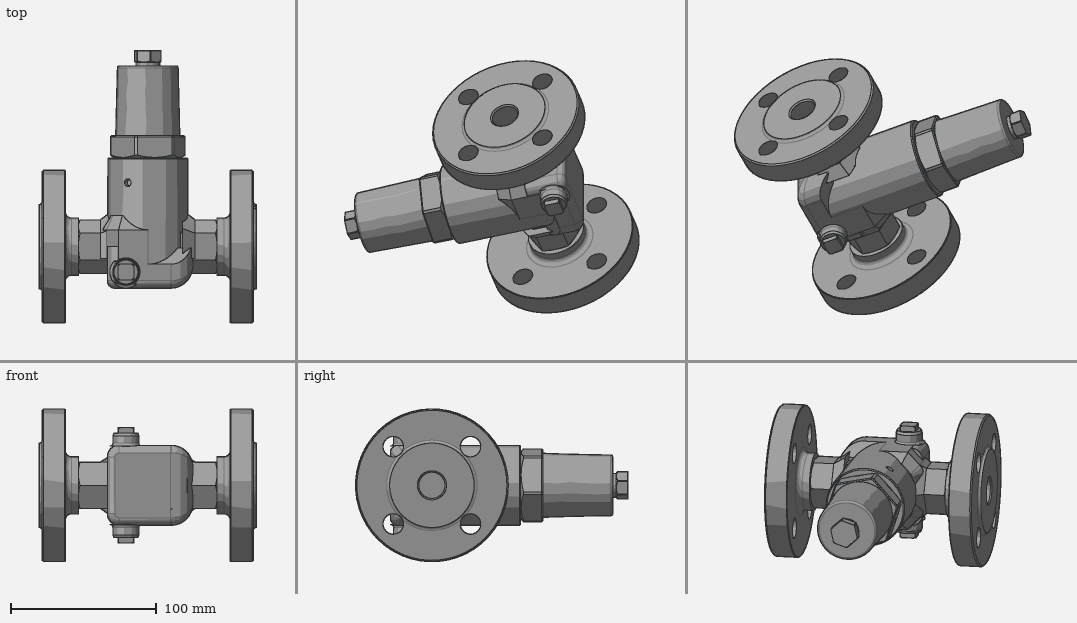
import cadquery as cq
import math


face_to_face = 149.0
flange_diameter = 105.0
flange_total_thickness = 18.0
front_chamfer = 1.0
back_chamfer = 0.5
raised_face_diameter = 58.0
raised_face_height = 2.0
raised_face_fillet = 2.0
hub_diameter = 39.5
hub_inner_end = 47.5
hub_fillet = 4.0
bolt_hole_diameter = 14.0
bolt_circle_diameter = 75.0
bolt_hole_count = 4
first_bolt_angle = 45.0
bore_diameter = 18.0
bore_depth = 30.0
bore_chamfer = 1.0
neck_across_flats = 32.0
neck_end_diameter = 32.5
neck_end_taper_length = 1.0
flare_root = 24.0
flare_end = 32.5
flare_rise = 6.5
flare_low = -8.0

body_diameter = 55.0
body_radius = body_diameter / 2
body_bottom = -28.6
body_top = 61.0
body_top_chamfer = 0.8
bottom_fillet = 5.2

inlet_end = -31.0
inlet_low = -8.0
inlet_shoulder = 11.6
inlet_top = 21.5
inlet_top_inset = 6.0
inlet_corner_width = 11.0
inlet_corner_depth = 11.5
inlet_corner_radius = 10.0

chamber_side = -27.8
chamber_top = 0.0
chamber_corner_radius = 8.0

outlet_end = 31.0
outlet_shoulder = -12.0
outlet_top = -1.0
outlet_top_drop = 9.0
outlet_plan_radius = 15.5
outlet_side_radius = 15.0

vent_hole_diameter = 5.1
vent_hole_y = 43.9
vent_hole_depth = 4.0
vent_hole_angle = 30.0

bonnet_top = 76.2
bonnet_across_flats = 46.0
bonnet_turned_diameter = 52.0
bonnet_top_chamfer = 0.8
bonnet_base_diameter = 45.0
bonnet_base_taper_length = 1.9
bonnet_corner_angle = 48.0
cap_top = 124.2
cap_base_diameter = 44.2
cap_top_diameter = 41.8
cap_fillet = 1.5
washer_diameter = 16.5
screw_head_base = 126.5
overall_length = 187.08
screw_head_top = overall_length - flange_diameter / 2
screw_across_flats = 17.0
screw_turned_diameter = 19.2
screw_base_diameter = 16.5
screw_base_taper_length = 1.0
screw_corner_angle = 18.0

plug_x = -15.0
plug_y = -17.4
plug_boss_diameter = 18.0
plug_boss_top = 35.9
plug_boss_chamfer_width = 0.75
plug_boss_chamfer_height = 1.9
plug_head_width = 11.0
plug_head_turned_diameter = 15.0
plug_head_chamfer = 0.8
plug_head_top = 39.7
plug_foot_base = 27.0
plug_foot_radius = 2.0


def along_y(y):
    """Workplane at height y facing +Y; its local axes are +X and -Z."""
    return cq.Workplane("XZ", origin=(0, y, 0)).transformed(rotate=(180, 0, 0))


def cylinder_y(diameter, y_low, y_high):
    return along_y(y_low).circle(diameter / 2).extrude(y_high - y_low)


def cone_y(low_diameter, high_diameter, y_low, y_high):
    cone = along_y(y_low).circle(low_diameter / 2)
    return cone.workplane(offset=y_high - y_low).circle(high_diameter / 2).loft(ruled=True)


def turned_hexagon(across_flats, turned_diameter, base_diameter, taper_length, corner_angle, y_low, y_high):
    """Hexagon along Y with its corners turned round and its base tapered; corner_angle runs from +X to +Z."""
    corner_diameter = across_flats / math.cos(math.pi / 6)
    hexagon = along_y(y_low).polygon(6, corner_diameter).extrude(y_high - y_low)
    hexagon = hexagon.rotate((0, 0, 0), (0, 1, 0), -corner_angle)
    taper_top = y_low + taper_length
    turned_blank = cone_y(base_diameter, turned_diameter, y_low, taper_top)
    turned_blank = turned_blank.union(cylinder_y(turned_diameter, taper_top, y_high))
    return hexagon.intersect(turned_blank)


def box_between(x_range, y_range, half_height):
    size_x = x_range[1] - x_range[0]
    size_y = y_range[1] - y_range[0]
    box = cq.Workplane("XY").box(size_x, size_y, 2 * half_height, centered=(False, False, True))
    return box.translate((x_range[0], y_range[0], 0))


def make_flange():
    """Inlet flange with raised face, filleted hub and bolt holes at the -X end."""
    face_x = -face_to_face / 2
    seat_x = face_x + raised_face_height
    back_x = face_x + flange_total_thickness
    raised_radius = raised_face_diameter / 2
    flange_radius = flange_diameter / 2
    hub_radius = hub_diameter / 2
    fillet_reach = 1 - math.sqrt(0.5)
    flange = (
        cq.Workplane("XY")
        .moveTo(face_x, 0)
        .lineTo(face_x, raised_radius)
        .threePointArc(
            (
                seat_x - raised_face_fillet * fillet_reach,
                raised_radius + raised_face_fillet * fillet_reach,
            ),
            (seat_x, raised_radius + raised_face_fillet),
        )
        .lineTo(seat_x, flange_radius - front_chamfer)
        .lineTo(seat_x + front_chamfer, flange_radius)
        .lineTo(back_x - back_chamfer, flange_radius)
        .lineTo(back_x, flange_radius - back_chamfer)
        .lineTo(back_x, hub_radius + hub_fillet)
        .threePointArc(
            (back_x + hub_fillet * fillet_reach, hub_radius + hub_fillet * fillet_reach),
            (back_x + hub_fillet, hub_radius),
        )
        .lineTo(-hub_inner_end, hub_radius)
        .lineTo(-hub_inner_end, 0)
        .close()
        .revolve(360, (0, 0, 0), (1, 0, 0))
    )
    bolt_holes = (
        cq.Workplane("YZ", origin=(face_x, 0, 0))
        .polarArray(bolt_circle_diameter / 2, first_bolt_angle, 360, bolt_hole_count)
        .circle(bolt_hole_diameter / 2)
        .extrude(flange_total_thickness)
    )
    return flange.cut(bolt_holes)


def make_bore():
    """Blind bore with a chamfered mouth at the -X end."""
    face_x = -face_to_face / 2
    bore_radius = bore_diameter / 2
    return (
        cq.Workplane("XY")
        .moveTo(face_x, 0)
        .lineTo(face_x, bore_radius + bore_chamfer)
        .lineTo(face_x + bore_chamfer, bore_radius)
        .lineTo(face_x + bore_depth, bore_radius)
        .lineTo(face_x + bore_depth, 0)
        .close()
        .revolve(360, (0, 0, 0), (1, 0, 0))
    )


def make_neck():
    """Hexagonal neck through both sides, corners at +Y and -Y, end corners turned down."""
    corner_radius = neck_across_flats / 2 / math.cos(math.pi / 6)
    taper_start = hub_inner_end - neck_end_taper_length
    hexagon = cq.Workplane("YZ").polygon(6, 2 * corner_radius).extrude(hub_inner_end, both=True)
    turned_blank = (
        cq.Workplane("XY")
        .moveTo(-hub_inner_end, 0)
        .lineTo(-hub_inner_end, neck_end_diameter / 2)
        .lineTo(-taper_start, corner_radius)
        .lineTo(taper_start, corner_radius)
        .lineTo(hub_inner_end, neck_end_diameter / 2)
        .lineTo(hub_inner_end, 0)
        .close()
        .revolve(360, (0, 0, 0), (1, 0, 0))
    )
    return hexagon.intersect(turned_blank)


def make_neck_flare():
    """Tapered hexagon that widens the neck where it runs into the barrel, on the +X side."""
    corner_radius = neck_across_flats / 2 / math.cos(math.pi / 6)
    root_corner_radius = corner_radius + flare_rise
    flare = (
        cq.Workplane("YZ", origin=(flare_root, 0, 0))
        .polygon(6, 2 * root_corner_radius)
        .workplane(offset=flare_end - flare_root)
        .polygon(6, 2 * corner_radius)
        .loft(ruled=True)
    )
    upper_side = box_between((flare_root, flare_end), (flare_low, body_top), body_radius)
    return flare.intersect(upper_side)


def make_inlet():
    """Inlet chamber: slanted rounded corners in plan and a shoulder tapering up to the barrel."""
    corner_start_x = inlet_end + inlet_corner_width
    corner_z = body_radius - inlet_corner_depth
    plan = [
        (-inlet_end, -body_radius),
        (corner_start_x, -body_radius),
        (inlet_end, -corner_z),
        (inlet_end, corner_z),
        (corner_start_x, body_radius),
        (-inlet_end, body_radius),
    ]
    shoulder_height = inlet_top - inlet_shoulder
    shoulder_taper = math.degrees(math.atan2(inlet_top_inset, shoulder_height))
    lower = along_y(inlet_low).polyline(plan).close().extrude(inlet_shoulder - inlet_low)
    lower = lower.edges("|Y and <X").fillet(inlet_corner_radius)
    shoulder = lower.faces(">Y").wires().toPending().workplane()
    shoulder = shoulder.extrude(shoulder_height, taper=shoulder_taper, combine=False)
    inlet_side = box_between((2 * inlet_end, 0), (inlet_low, inlet_top), body_radius)
    return lower.union(shoulder).intersect(inlet_side)


def make_chamber():
    """Lower half on the inlet side that carries the vent plugs."""
    chamber = box_between((chamber_side, 0), (body_bottom, chamber_top), body_radius)
    return chamber.edges("|Y and <X").fillet(chamber_corner_radius)


def make_outlet():
    """Lower half on the outlet side, rounded towards the neck and sloped towards the barrel."""
    x_range = (0, outlet_end)
    y_range = (body_bottom, outlet_top)
    plan = box_between(x_range, y_range, body_radius)
    plan = plan.edges("|Z and >X and <Y").fillet(outlet_plan_radius)
    side = box_between(x_range, y_range, body_radius)
    side = side.edges("|Y and >X").fillet(outlet_side_radius)
    sloped_section = (
        cq.Workplane("YZ")
        .moveTo(body_bottom, -body_radius)
        .lineTo(outlet_shoulder, -body_radius)
        .lineTo(outlet_top, outlet_top_drop - body_radius)
        .lineTo(outlet_top, body_radius - outlet_top_drop)
        .lineTo(outlet_shoulder, body_radius)
        .lineTo(body_bottom, body_radius)
        .close()
        .extrude(outlet_end)
    )
    return plan.intersect(side).intersect(sloped_section)


def make_vent_plug():
    """Plug boss with a flared foot and a square head, on the +Z side."""
    boss_radius = plug_boss_diameter / 2
    foot_top = plug_foot_base + plug_foot_radius
    arc_reach = plug_foot_radius * (1 - math.sqrt(0.5))
    boss = (
        cq.Workplane("XZ")
        .moveTo(0, 0)
        .lineTo(boss_radius, 0)
        .lineTo(boss_radius, plug_boss_top - plug_boss_chamfer_height)
        .lineTo(boss_radius - plug_boss_chamfer_width, plug_boss_top)
        .lineTo(0, plug_boss_top)
        .close()
        .revolve(360, (0, 0, 0), (0, 1, 0))
    )
    foot = (
        cq.Workplane("XZ")
        .moveTo(0, plug_foot_base)
        .lineTo(boss_radius + plug_foot_radius, plug_foot_base)
        .threePointArc((boss_radius + arc_reach, plug_foot_base + arc_reach), (boss_radius, foot_top))
        .lineTo(0, foot_top)
        .close()
        .revolve(360, (0, 0, 0), (0, 1, 0))
    )
    head_height = plug_head_top - plug_boss_top
    head = cq.Workplane("XY", origin=(0, 0, plug_boss_top)).rect(plug_head_width, plug_head_width)
    head = head.extrude(head_height)
    turned_blank = cq.Workplane("XY", origin=(0, 0, plug_boss_top)).circle(plug_head_turned_diameter / 2)
    turned_blank = turned_blank.extrude(head_height).faces(">Z").chamfer(plug_head_chamfer)
    head = head.intersect(turned_blank)
    return boss.union(foot).union(head).translate((plug_x, plug_y, 0))


def make_cap():
    cap = cone_y(cap_base_diameter, cap_top_diameter, bonnet_top, cap_top)
    return cap.faces(">Y").edges().fillet(cap_fillet)


def make_bonnet_and_screw():
    bonnet = turned_hexagon(
        bonnet_across_flats,
        bonnet_turned_diameter,
        bonnet_base_diameter,
        bonnet_base_taper_length,
        bonnet_corner_angle,
        body_top,
        bonnet_top,
    )
    bonnet = bonnet.faces(">Y").edges().chamfer(bonnet_top_chamfer)
    washer = cylinder_y(washer_diameter, cap_top, screw_head_base)
    screw_head = turned_hexagon(
        screw_across_flats,
        screw_turned_diameter,
        screw_base_diameter,
        screw_base_taper_length,
        screw_corner_angle,
        screw_head_base,
        screw_head_top,
    )
    return bonnet.union(make_cap()).union(washer).union(screw_head)


def make_vent_hole():
    """Blind radial hole in the barrel, tilted from +Z towards -X."""
    hole = cq.Workplane("XY", origin=(0, vent_hole_y, body_radius - vent_hole_depth))
    hole = hole.circle(vent_hole_diameter / 2).extrude(body_radius)
    return hole.rotate((0, 0, 0), (0, 1, 0), -vent_hole_angle)


def with_mirror(shape, plane):
    return shape.union(shape.mirror(plane))


lower_body = make_chamber().union(make_outlet())
lower_body = lower_body.faces("<Y").edges().fillet(bottom_fillet)

barrel = cylinder_y(body_diameter, body_bottom + bottom_fillet, body_top)
barrel = barrel.faces(">Y").chamfer(body_top_chamfer)

result = (
    barrel.union(make_neck())
    .union(with_mirror(make_neck_flare(), "YZ"))
    .union(make_inlet())
    .union(lower_body)
    .union(with_mirror(make_vent_plug(), "XY"))
    .union(with_mirror(make_flange(), "YZ"))
    .union(make_bonnet_and_screw())
    .cut(with_mirror(make_bore(), "YZ"))
    .cut(make_vent_hole())
)